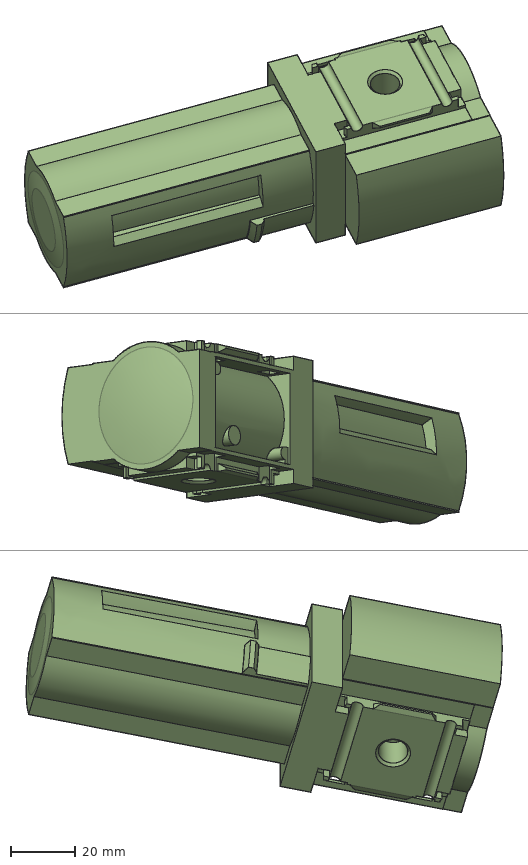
import cadquery as cq
import math


HALF_WIDTH = 21.0
HALF_HEIGHT = 20.1
PLATE_Z = 15.7
REAR_BLOCK_Z = 15.5
REAR_Y = 27.0
ARCH_FRONT_Y = 21.0
COLLAR_REAR_Y = -21.3
COLLAR_FRONT_Y = -31.1

DOME_RADIUS = 18.4
DOME_HEIGHT = 2.0

PLATFORM_HALF_X = 15.3
GROOVES = ((14.9, 1.7), (-15.1, 1.9))
NOTCH_INNER_X = 11.4
NOTCH_DEPTH = 3.4
NOTCH_INNER_Y = 17.0
POST_INNER_X = 13.9
POST_INNER_CORNER_Y = 19.0
POST_OUTER_CORNER_Y = 18.5

LIP_OUTER_X = 17.1
LIP_HALF_Y = 10.0
LIP_TIP_HALF_Y = 8.3
LIP_ROOT_DEPTH = 2.5
LIP_FACE_DEPTHS = (0.5, 1.3)

PORT_DIAMETER = 9.1
PORT_MOUTH_DIAMETER = 10.9
PORT_DEPTH = 11.4

CAVITY_HALF_Z = 14.4
CAVITY_REAR_Y = 18.7
CAVITY_FRONT_Y = -19.3
DRUM_RADIUS = 18.8
PIN_DIAMETER = 6.1
PIN_Y = 5.9
PIN_Z = -8.4
PIN_FACE_X = -18.5
PAD_FACE_X = -20.3
PAD_RADIUS = 2.0
PAD_WALL_GAP = 1.5
PAD_Z = 11.0

WINDOW_OUTER_X = -18.7
WINDOW_INNER_X = -14.7
WINDOW_NEAR_Y = 11.0
WINDOW_FAR_Y = 17.0

COVER_HALF_Z = 15.3
COVER_EDGE_X = 30.5
COVER_APEX_X = 33.0

BARREL_END_Y = -113.1
BARREL_FLAT_Z = 15.7
BARREL_CORNER_X = 15.4
BARREL_LAND_Z = 15.3
BARREL_ROUND_RADIUS = 17.7
BARREL_BULGE_X = 18.8
BARREL_END_BULGE_X = 18.5
END_CONE_RADIUS = 15.5
END_FACE_RADIUS = 10.1
END_CONE_HEIGHT = 0.7

GRIP_REAR_Y = -47.8
GRIP_FRONT_Y = -97.5
GRIP_TOP_Z = 11.9
GRIP_BOTTOM_Z = -0.3
GRIP_FLOOR_TOP_Z = 10.0
GRIP_FLOOR_BOTTOM_Z = 1.9
GRIP_EDGE_DEPTH = 2.4
GRIP_REAR_DEPTH = 3.4
GRIP_FRONT_DEPTH = 4.3

LATCH_TOP_Z = -5.0
LATCH_BOTTOM_Z = -15.3
LATCH_STRIP_X = 19.7
LATCH_HOOK_X = 21.5
LATCH_LIP_X = 19.3
LATCH_CHAMFER = 1.3
LATCH_HOOK_FRONT_Y = -50.8
LATCH_FRONT_Y = -52.1

BULGE_RISE = BARREL_BULGE_X - BARREL_CORNER_X
BULGE_RADIUS = (BARREL_LAND_Z**2 + BULGE_RISE**2) / (2 * BULGE_RISE)
BULGE_CENTRE_X = BARREL_BULGE_X - BULGE_RADIUS


def block(x_range, y_range, z_range):
    """Box between two limits on each axis."""
    ranges = (x_range, y_range, z_range)
    size = [abs(b - a) for a, b in ranges]
    centre = [(a + b) / 2 for a, b in ranges]
    return cq.Workplane("XY").box(*size).translate(tuple(centre))


def y_cylinder(radius, y_start, y_end):
    """Cylinder on the barrel axis between two Y positions."""
    return cq.Workplane("XZ", origin=(0, y_start, 0)).circle(radius).extrude(y_start - y_end)


def x_cylinder(radius, y, z, x_start, x_end):
    """Cylinder along X between two X positions."""
    return cq.Workplane("YZ", origin=(x_start, y, z)).circle(radius).extrude(x_end - x_start)


def bulge_x(z, inset=0.0):
    """X of the barrel side arc at height z, moved inward along its radius."""
    return BULGE_CENTRE_X + math.sqrt((BULGE_RADIUS - inset)**2 - z**2)


def make_body():
    """Recessed plates, arched rear end and square collar."""
    plates = block((-HALF_WIDTH, HALF_WIDTH), (COLLAR_REAR_Y, ARCH_FRONT_Y), (-PLATE_Z, PLATE_Z))
    rear_block = block((-HALF_WIDTH, HALF_WIDTH), (ARCH_FRONT_Y, REAR_Y),
                       (-REAR_BLOCK_Z, REAR_BLOCK_Z))
    arch = y_cylinder(HALF_HEIGHT, REAR_Y, ARCH_FRONT_Y)
    collar = block((-HALF_WIDTH, HALF_WIDTH), (COLLAR_FRONT_Y, COLLAR_REAR_Y),
                   (-HALF_HEIGHT, HALF_HEIGHT))
    return plates.union(rear_block).union(arch).union(collar)


def make_dome():
    """Spherical cap on the rear face."""
    sphere_radius = (DOME_RADIUS**2 + DOME_HEIGHT**2) / (2 * DOME_HEIGHT)
    sphere_y = REAR_Y + DOME_HEIGHT - sphere_radius
    sphere = cq.Workplane("XY").sphere(sphere_radius).translate((0, sphere_y, 0))
    return sphere.intersect(y_cylinder(DOME_RADIUS, REAR_Y + DOME_HEIGHT, REAR_Y))


def make_lip():
    """Lip on the +X side of the upper platform, thinning towards its tip."""
    upper_depth, lower_depth = LIP_FACE_DEPTHS
    profile = (
        cq.Workplane("XZ", origin=(0, LIP_HALF_Y, 0))
        .moveTo(PLATFORM_HALF_X, HALF_HEIGHT)
        .lineTo(LIP_OUTER_X, HALF_HEIGHT - upper_depth)
        .lineTo(LIP_OUTER_X, HALF_HEIGHT - lower_depth)
        .lineTo(PLATFORM_HALF_X, HALF_HEIGHT - LIP_ROOT_DEPTH)
        .close()
        .extrude(2 * LIP_HALF_Y)
    )
    plan = (
        cq.Workplane("XY")
        .moveTo(PLATFORM_HALF_X, LIP_HALF_Y)
        .lineTo(LIP_OUTER_X, LIP_TIP_HALF_Y)
        .lineTo(LIP_OUTER_X, -LIP_TIP_HALF_Y)
        .lineTo(PLATFORM_HALF_X, -LIP_HALF_Y)
        .close()
        .extrude(HALF_HEIGHT)
    )
    return profile.intersect(plan)


def make_notch(outer_y, y_side):
    """Corner notch on +X that wraps around a small standing post."""
    return (
        cq.Workplane("XY", origin=(0, 0, HALF_HEIGHT - NOTCH_DEPTH))
        .moveTo(NOTCH_INNER_X, y_side * NOTCH_INNER_Y)
        .lineTo(POST_INNER_X, y_side * NOTCH_INNER_Y)
        .lineTo(POST_INNER_X, y_side * POST_INNER_CORNER_Y)
        .lineTo(PLATFORM_HALF_X, y_side * POST_OUTER_CORNER_Y)
        .lineTo(PLATFORM_HALF_X, outer_y)
        .lineTo(NOTCH_INNER_X, outer_y)
        .close()
        .extrude(NOTCH_DEPTH)
    )


def make_platform():
    """Upper platform with cross grooves, stepped corner notches and side lips."""
    platform = block((-PLATFORM_HALF_X, PLATFORM_HALF_X), (COLLAR_REAR_Y, ARCH_FRONT_Y),
                     (CAVITY_HALF_Z, HALF_HEIGHT))
    for y, radius in GROOVES:
        platform = platform.cut(
            x_cylinder(radius, y, HALF_HEIGHT, -PLATFORM_HALF_X, PLATFORM_HALF_X))
    for outer_y, y_side in ((ARCH_FRONT_Y, 1), (COLLAR_REAR_Y, -1)):
        notch = make_notch(outer_y, y_side)
        platform = platform.cut(notch).cut(notch.mirror("YZ"))
    lip = make_lip()
    return platform.union(lip).union(lip.mirror("YZ"))


def make_port():
    """Flat-bottomed upper port with a conical mouth."""
    bore_radius = PORT_DIAMETER / 2
    mouth_radius = PORT_MOUTH_DIAMETER / 2
    mouth_depth = mouth_radius - bore_radius
    return (
        cq.Workplane("XZ")
        .moveTo(0, HALF_HEIGHT)
        .lineTo(mouth_radius, HALF_HEIGHT)
        .lineTo(bore_radius, HALF_HEIGHT - mouth_depth)
        .lineTo(bore_radius, HALF_HEIGHT - PORT_DEPTH)
        .lineTo(0, HALF_HEIGHT - PORT_DEPTH)
        .close()
        .revolve(360, (0, 0, 0), (0, 1, 0))
    )


def make_pad(wall_y, y_side):
    """Round-nosed pad in the cavity corner shared by one end wall and the ceiling or floor."""
    centre_y = wall_y - y_side * PAD_WALL_GAP
    centre_z = y_side * PAD_Z
    nose = x_cylinder(PAD_RADIUS, centre_y, centre_z, PAD_FACE_X, 0)
    foot = block((PAD_FACE_X, 0), (centre_y, wall_y),
                 (centre_z - y_side * PAD_RADIUS, y_side * CAVITY_HALF_Z))
    return nose.union(foot)


def make_cavity():
    """Space around the drum on the -X side, leaving the pin and the pads standing."""
    space = block((-HALF_WIDTH, 0), (CAVITY_FRONT_Y, CAVITY_REAR_Y),
                  (-CAVITY_HALF_Z, CAVITY_HALF_Z))
    drum = y_cylinder(DRUM_RADIUS, CAVITY_REAR_Y, CAVITY_FRONT_Y)
    pin = x_cylinder(PIN_DIAMETER / 2, PIN_Y, PIN_Z, PIN_FACE_X, 0)
    space = space.cut(drum).cut(pin)
    for wall_y, y_side in ((CAVITY_REAR_Y, 1), (CAVITY_FRONT_Y, -1)):
        space = space.cut(make_pad(wall_y, y_side))
    return space


def make_windows():
    """Two openings through the upper plate, notching the platform side."""
    windows = cq.Workplane("XY")
    for y_side in (-1, 1):
        windows = windows.union(
            block((WINDOW_OUTER_X, WINDOW_INNER_X),
                  (y_side * WINDOW_NEAR_Y, y_side * WINDOW_FAR_Y),
                  (CAVITY_HALF_Z, HALF_HEIGHT)))
    return windows


def make_cover():
    """Side cover with a bulged outer face."""
    return (
        cq.Workplane("XZ", origin=(0, REAR_Y, 0))
        .moveTo(HALF_WIDTH, -COVER_HALF_Z)
        .lineTo(COVER_EDGE_X, -COVER_HALF_Z)
        .threePointArc((COVER_APEX_X, 0), (COVER_EDGE_X, COVER_HALF_Z))
        .lineTo(HALF_WIDTH, COVER_HALF_Z)
        .close()
        .extrude(REAR_Y - COLLAR_REAR_Y)
    )


def barrel_outline(plane, apex_x):
    """Barrel section: bulged sides and flats interrupted by a round back."""
    round_x = math.sqrt(BARREL_ROUND_RADIUS**2 - BARREL_FLAT_Z**2)
    return (
        plane
        .moveTo(-BARREL_CORNER_X, BARREL_FLAT_Z)
        .lineTo(-round_x, BARREL_FLAT_Z)
        .threePointArc((0, BARREL_ROUND_RADIUS), (round_x, BARREL_FLAT_Z))
        .lineTo(BARREL_CORNER_X, BARREL_FLAT_Z)
        .lineTo(BARREL_CORNER_X, BARREL_LAND_Z)
        .threePointArc((apex_x, 0), (BARREL_CORNER_X, -BARREL_LAND_Z))
        .lineTo(BARREL_CORNER_X, -BARREL_FLAT_Z)
        .lineTo(round_x, -BARREL_FLAT_Z)
        .threePointArc((0, -BARREL_ROUND_RADIUS), (-round_x, -BARREL_FLAT_Z))
        .lineTo(-BARREL_CORNER_X, -BARREL_FLAT_Z)
        .lineTo(-BARREL_CORNER_X, -BARREL_LAND_Z)
        .threePointArc((-apex_x, 0), (-BARREL_CORNER_X, BARREL_LAND_Z))
        .close()
    )


def make_barrel():
    """Barrel whose side bulge flattens slightly towards the free end, closed by a shallow cone."""
    length = COLLAR_FRONT_Y - BARREL_END_Y
    start = barrel_outline(cq.Workplane("XZ", origin=(0, COLLAR_FRONT_Y, 0)), BARREL_BULGE_X)
    barrel = barrel_outline(start.workplane(offset=length), BARREL_END_BULGE_X).loft(ruled=True)
    cone = (
        cq.Workplane("XZ", origin=(0, BARREL_END_Y, 0))
        .circle(END_CONE_RADIUS)
        .workplane(offset=END_CONE_HEIGHT)
        .circle(END_FACE_RADIUS)
        .loft()
    )
    return barrel.union(cone)


def grip_outline(plane, depth):
    """Grip section: sloped upper edge, curved floor, narrow ledge and sloped lower edge."""
    floor_middle_z = (GRIP_FLOOR_TOP_Z + GRIP_FLOOR_BOTTOM_Z) / 2
    return (
        plane
        .moveTo(bulge_x(GRIP_TOP_Z), GRIP_TOP_Z)
        .lineTo(bulge_x(GRIP_FLOOR_TOP_Z, depth), GRIP_FLOOR_TOP_Z)
        .threePointArc((bulge_x(floor_middle_z, depth), floor_middle_z),
                       (bulge_x(GRIP_FLOOR_BOTTOM_Z, depth), GRIP_FLOOR_BOTTOM_Z))
        .lineTo(bulge_x(GRIP_FLOOR_BOTTOM_Z, GRIP_EDGE_DEPTH), GRIP_FLOOR_BOTTOM_Z)
        .lineTo(bulge_x(GRIP_BOTTOM_Z), GRIP_BOTTOM_Z)
        .lineTo(HALF_WIDTH, GRIP_BOTTOM_Z)
        .lineTo(HALF_WIDTH, GRIP_TOP_Z)
        .close()
    )


def make_grip():
    """Grip recess in the +X barrel side, deepening towards the free end."""
    rear = grip_outline(cq.Workplane("XZ", origin=(0, GRIP_REAR_Y, 0)), GRIP_REAR_DEPTH)
    front_plane = rear.workplane(offset=GRIP_REAR_Y - GRIP_FRONT_Y)
    return grip_outline(front_plane, GRIP_FRONT_DEPTH).loft(ruled=True)


def make_latch():
    """Curved strip ending in a hook, swept about the centre of the barrel side arc."""
    ring = (
        cq.Workplane("XY")
        .moveTo(BARREL_CORNER_X, COLLAR_FRONT_Y)
        .lineTo(LATCH_STRIP_X, COLLAR_FRONT_Y)
        .lineTo(LATCH_STRIP_X, GRIP_REAR_Y)
        .lineTo(LATCH_HOOK_X - LATCH_CHAMFER, GRIP_REAR_Y)
        .lineTo(LATCH_HOOK_X, GRIP_REAR_Y - LATCH_CHAMFER)
        .lineTo(LATCH_HOOK_X, LATCH_HOOK_FRONT_Y)
        .lineTo(LATCH_LIP_X, LATCH_FRONT_Y)
        .lineTo(BARREL_CORNER_X, LATCH_FRONT_Y)
        .close()
        .revolve(360, (BULGE_CENTRE_X, 0, 0), (BULGE_CENTRE_X, 1, 0))
    )
    return ring.intersect(block((0, LATCH_HOOK_X), (LATCH_FRONT_Y, COLLAR_FRONT_Y),
                                (LATCH_BOTTOM_Z, LATCH_TOP_Z)))


body = make_body()

platform = make_platform()
body = body.union(platform).union(platform.mirror("XY"))
body = body.cut(make_cavity())
for opening in (make_port(), make_windows()):
    body = body.cut(opening).cut(opening.mirror("XY"))

grip = make_grip()
barrel = make_barrel().cut(grip).cut(grip.mirror("YZ")).union(make_latch())

result = body.union(make_cover()).union(barrel).union(make_dome())